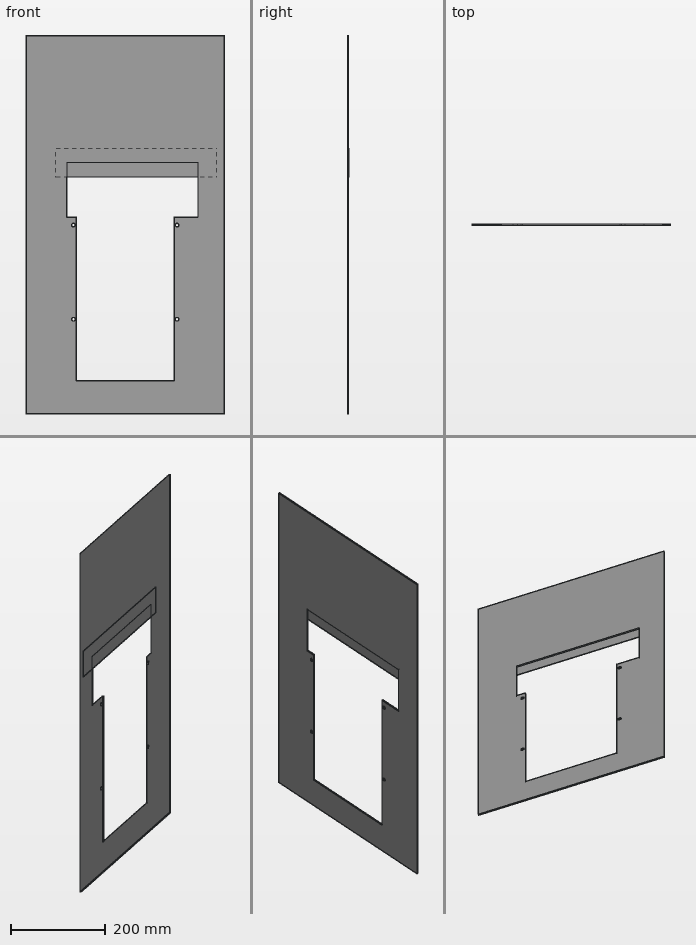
import cadquery as cq

PANEL_WIDTH = 419.0
PANEL_HEIGHT = 800.0
TOTAL_DEPTH = 4.0
PANEL_DEPTH = 3.0
BACKING_DEPTH = TOTAL_DEPTH - PANEL_DEPTH

LOWER_WIDTH = 206.0
LOWER_LEFT = (PANEL_WIDTH - LOWER_WIDTH) / 2
LOWER_BOTTOM = 70.0
UPPER_LEFT = 86.0
UPPER_WIDTH = 277.0
UPPER_BOTTOM = 416.0
UPPER_TOP = 531.0

BACKING_LEFT = 62.0
BACKING_WIDTH = 340.0
BACKING_VISIBLE = 30.0
BACKING_OVERLAP = 30.0

HOLE_DIAMETER = 7.0
HOLE_EDGE_GAP = 6.0
HOLE_UPPER_Z = 399.0
HOLE_PITCH = 199.0


def block(left, bottom, width, height, front, depth):
    """Box placed by its left, front and bottom sides."""
    return cq.Workplane("XY").box(width, depth, height, centered=False).translate((left, front, bottom))


def window():
    lower_height = UPPER_TOP - LOWER_BOTTOM
    upper_height = UPPER_TOP - UPPER_BOTTOM
    lower = block(LOWER_LEFT, LOWER_BOTTOM, LOWER_WIDTH, lower_height, 0, PANEL_DEPTH)
    upper = block(UPPER_LEFT, UPPER_BOTTOM, UPPER_WIDTH, upper_height, 0, PANEL_DEPTH)
    return lower.union(upper)


def screw_holes():
    left_x = LOWER_LEFT - HOLE_EDGE_GAP
    right_x = LOWER_LEFT + LOWER_WIDTH + HOLE_EDGE_GAP
    centres = [(x, z) for x in (left_x, right_x) for z in (HOLE_UPPER_Z, HOLE_UPPER_Z - HOLE_PITCH)]
    return cq.Workplane("XZ").pushPoints(centres).circle(HOLE_DIAMETER / 2).extrude(-PANEL_DEPTH)


def backing_strip():
    bottom = UPPER_TOP - BACKING_VISIBLE
    height = BACKING_VISIBLE + BACKING_OVERLAP
    return block(BACKING_LEFT, bottom, BACKING_WIDTH, height, PANEL_DEPTH, BACKING_DEPTH)


panel = block(0, 0, PANEL_WIDTH, PANEL_HEIGHT, 0, PANEL_DEPTH)
result = panel.cut(window()).cut(screw_holes()).union(backing_strip())